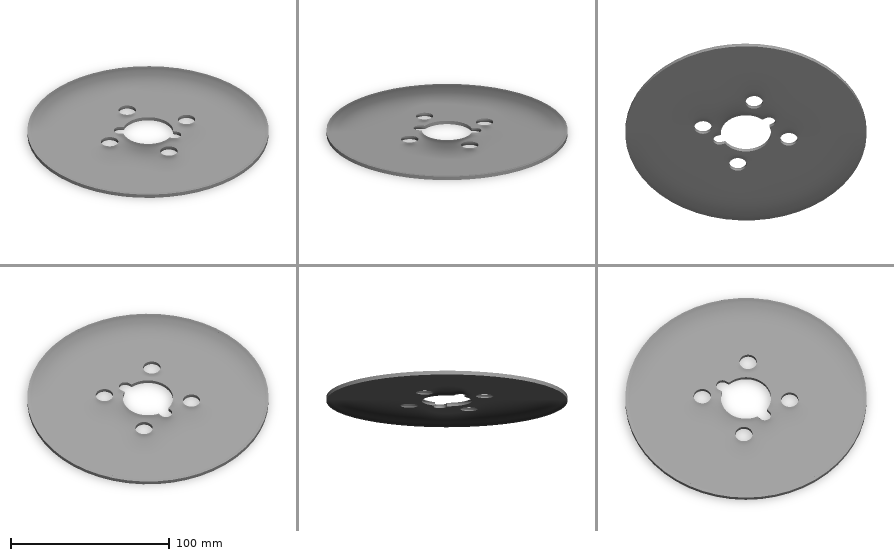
import cadquery as cq

outer_diameter = 152.4
rim_height = 2.5
land_diameter = 151.2
slope_drop = 0.2

disc_diameter = 148.5
disc_thickness = rim_height - slope_drop

tongue_inner_diameter = 133.8
groove_wall = 0.2

bore_diameter = 31.7
bolt_hole_diameter = 11.0
bolt_spacing = 39.0
slot_width = 8.0
slot_end_distance = 17.7
slot_angles = (0.0, 195.0)


def make_tongue():
    """Flat ring that fills the groove in the edge of the disc."""
    return (
        cq.Workplane("XY", origin=(0, 0, groove_wall))
        .circle(disc_diameter / 2)
        .circle(tongue_inner_diameter / 2)
        .extrude(disc_thickness - 2 * groove_wall)
    )


def make_key_slot(angle):
    """Round-ended slot running from the axis outward at the given angle."""
    return (
        cq.Workplane("XY")
        .center(slot_end_distance / 2, 0)
        .slot2D(slot_end_distance + slot_width, slot_width)
        .extrude(disc_thickness)
        .rotate((0, 0, 0), (0, 0, 1), angle)
    )


def make_disc():
    """Flat disc with an edge groove, a bore with two key slots, and four bolt holes."""
    body = cq.Workplane("XY").circle(disc_diameter / 2).extrude(disc_thickness)
    bore = cq.Workplane("XY").circle(bore_diameter / 2).extrude(disc_thickness)
    bolt_holes = (
        cq.Workplane("XY")
        .rect(bolt_spacing, bolt_spacing, forConstruction=True)
        .vertices()
        .circle(bolt_hole_diameter / 2)
        .extrude(disc_thickness)
    )
    body = body.cut(make_tongue()).cut(bore).cut(bolt_holes)
    for angle in slot_angles:
        body = body.cut(make_key_slot(angle))
    return body


def make_rim():
    """Ring around the disc with a sloped inner top edge and an inward tongue."""
    profile = [
        (disc_diameter / 2, 0),
        (outer_diameter / 2, 0),
        (outer_diameter / 2, rim_height),
        (land_diameter / 2, rim_height),
        (disc_diameter / 2, disc_thickness),
    ]
    ring = cq.Workplane("XZ").polyline(profile).close().revolve(360, (0, 0, 0), (0, 1, 0))
    return ring.union(make_tongue())


disc = make_disc()
rim = make_rim()

result = cq.Compound.makeCompound([disc.val(), rim.val()])